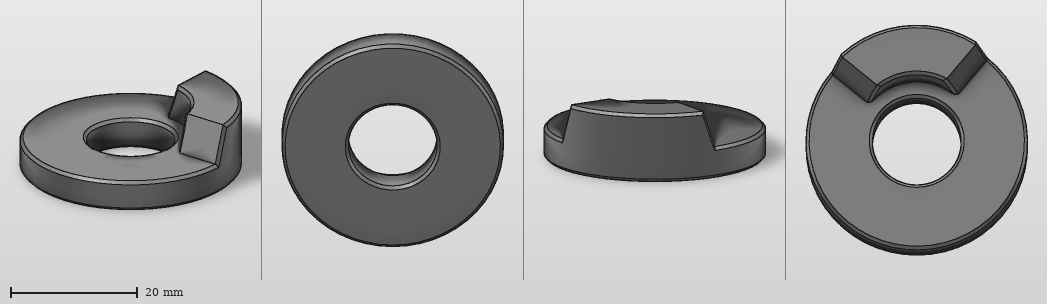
import cadquery as cq
import math

OUTER_RADIUS = 17.5
BORE_RADIUS = 7.0
BASE_HEIGHT = 5.0

JAW_INNER_RADIUS = 9.5
JAW_HEIGHT = 6.0
FLANK_ANGLE = 20.0
FLANK_OVERRUN = 0.25

CHAMFER = 0.5
SEAM_ANGLE = -118.7

TOTAL_HEIGHT = BASE_HEIGHT + JAW_HEIGHT
FLANK_LEAN = JAW_HEIGHT * math.tan(math.radians(FLANK_ANGLE))
TOLERANCE = 1e-4


def ring(inner_radius, height):
    """Ring with the common outer radius, standing on Z = 0, its seam turned clear of the jaw."""
    profile = cq.Workplane("XY").circle(OUTER_RADIUS).circle(inner_radius)
    return profile.extrude(height).rotate((0, 0, 0), (0, 0, 1), SEAM_ANGLE)


def flank_prism(plane):
    """Prism closed on one side by a leaning flank, drawn on an upright plane through the centre."""
    return (
        cq.Workplane(plane)
        .moveTo(-FLANK_OVERRUN, BASE_HEIGHT)
        .lineTo(FLANK_LEAN - FLANK_OVERRUN, TOTAL_HEIGHT)
        .lineTo(OUTER_RADIUS, TOTAL_HEIGHT)
        .lineTo(OUTER_RADIUS, BASE_HEIGHT)
        .close()
        .extrude(OUTER_RADIUS, both=True)
    )


def make_jaw():
    """Quarter ring bounded by two leaning flanks, one facing -X and one facing -Y."""
    jaw_ring = ring(JAW_INNER_RADIUS, TOTAL_HEIGHT)
    return jaw_ring.intersect(flank_prism("XZ")).intersect(flank_prism("YZ"))


def is_jaw_foot(edge):
    """True for the edges where the jaw's flanks and inner wall meet the base."""
    box = edge.BoundingBox()
    is_level = box.zlen < TOLERANCE
    lies_on_base_top = is_level and abs(box.zmin - BASE_HEIGHT) < TOLERANCE
    middle = edge.positionAt(0.5)
    radius = math.hypot(middle.x, middle.y)
    return lies_on_base_top and BORE_RADIUS + TOLERANCE < radius < OUTER_RADIUS - TOLERANCE


def is_flank_top(edge):
    """True for the straight edges where the flanks meet the jaw's top face."""
    return edge.geomType() == "LINE" and edge.BoundingBox().zmin > TOTAL_HEIGHT - TOLERANCE


def is_seam(edge):
    """True for the upright seam lines of the cylinders."""
    box = edge.BoundingBox()
    return box.xlen < TOLERANCE and box.ylen < TOLERANCE


body = ring(BORE_RADIUS, BASE_HEIGHT).union(make_jaw())
sharp_edges = [
    edge for edge in body.edges().vals()
    if not (is_jaw_foot(edge) or is_flank_top(edge) or is_seam(edge))
]
result = body.newObject(sharp_edges).chamfer(CHAMFER)